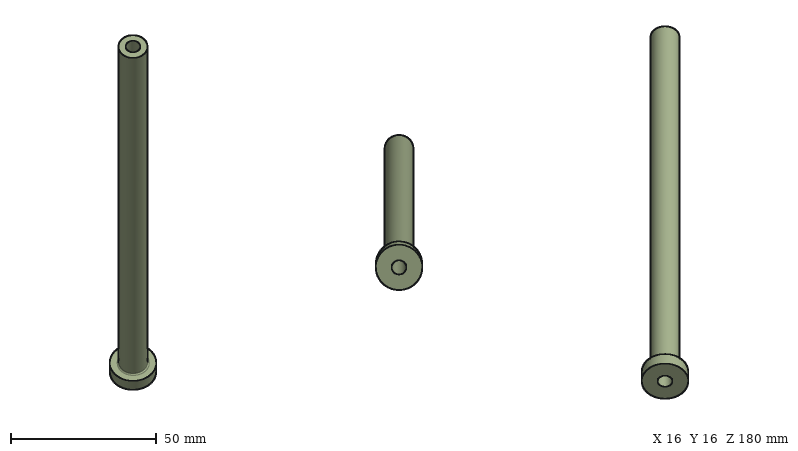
import cadquery as cq

overall_length = 180.0
head_diameter = 16.0
head_height = 5.0
shank_diameter = 10.0
bore_diameter = 5.0
neck_fillet_radius = 0.5


def make_cylinder(diameter, height):
    """Upright cylinder on the Z axis, standing on Z = 0."""
    return cq.Workplane("XY").circle(diameter / 2).extrude(height)


def round_neck(body):
    """Fillet the inner corner where the shank rises from the head's top face."""
    head_top_edges = body.edges("%CIRCLE").edges(cq.selectors.CenterNthSelector(cq.Vector(0, 0, 1), 1))
    neck_edge = head_top_edges.edges(cq.selectors.RadiusNthSelector(0))
    return neck_edge.fillet(neck_fillet_radius)


head = make_cylinder(head_diameter, head_height)
shank = make_cylinder(shank_diameter, overall_length)
bore = make_cylinder(bore_diameter, overall_length)

result = round_neck(head.union(shank)).cut(bore)